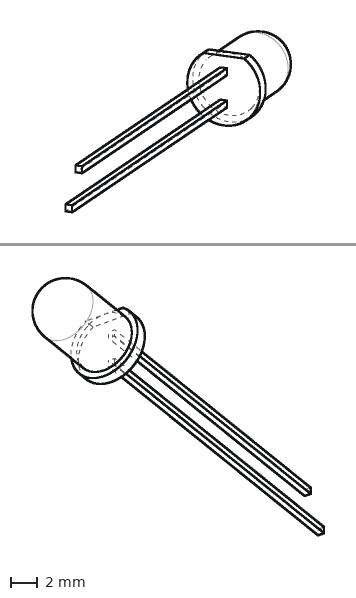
import cadquery as cq
import math

total_length = 36.58
lamp_length = 8.65
body_radius = 4.95 / 2
flange_radius = 5.95 / 2
flange_thickness = 1.0

lead_width = 0.55
lead_spacing = 2.52
lead_length_difference = 1.8
long_lead = total_length - lamp_length
short_lead = long_lead - lead_length_difference


def make_lamp():
    """Cylindrical body with a hemispherical dome, revolved about Y."""
    dome_start = lamp_length - body_radius
    dome_mid = body_radius * math.sin(math.radians(45))
    return (
        cq.Workplane("XY")
        .lineTo(body_radius, 0)
        .lineTo(body_radius, dome_start)
        .threePointArc((dome_mid, dome_start + dome_mid), (0, lamp_length))
        .close()
        .revolve(360, (0, 0, 0), (0, 1, 0))
    )


def make_flange():
    """Round flange with a flat on top, level with the body side."""
    disc = cq.Workplane("XZ").circle(flange_radius).extrude(-flange_thickness)
    flat_cut = (
        cq.Workplane("XY")
        .workplane(offset=body_radius)
        .rect(2 * flange_radius, 2 * flange_thickness)
        .extrude(flange_radius)
    )
    return disc.cut(flat_cut)


def make_lead(height, length):
    """Square lead running from the flange base toward -Y."""
    return (
        cq.Workplane("XZ")
        .center(0, height)
        .rect(lead_width, lead_width)
        .extrude(length)
    )


result = make_lamp().union(make_flange())
for lead_height, lead_length in (
    (lead_spacing / 2, short_lead),
    (-lead_spacing / 2, long_lead),
):
    result = result.union(make_lead(lead_height, lead_length))